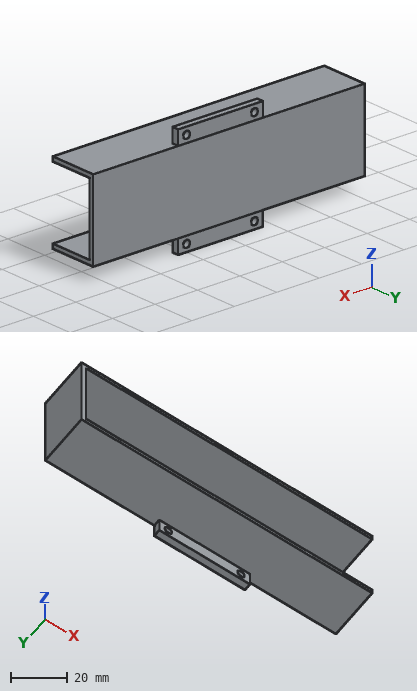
import cadquery as cq

length = 128.0
depth = 22.0
channel_height = 35.7
wall = 2.0
back_thickness = 2.0

overall_height = 48.5
lug_length = 40.0
lug_thickness = 3.1
lug_start = 48.0
lug_height = (overall_height - channel_height) / 2
hole_diameter = 3.1
hole_spacing = 32.0


def make_channel():
    """Channel with a back, top and bottom walls and a wall at the -X end."""
    body = cq.Workplane("XY").box(length, depth, channel_height, centered=(False, False, True))
    cavity = (
        cq.Workplane("XY")
        .box(length - wall, depth - back_thickness, channel_height - 2 * wall, centered=(False, False, True))
        .translate((wall, 0, 0))
    )
    return body.cut(cavity)


def make_lug(side):
    """Drilled lug on the top (side = 1) or the bottom (side = -1) of the channel."""
    center_x = lug_start + lug_length / 2
    center_z = side * (channel_height + lug_height) / 2
    plate = cq.Workplane("XY").box(lug_length, lug_thickness, lug_height)
    holes = (
        cq.Workplane("XZ")
        .pushPoints([(-hole_spacing / 2, 0), (hole_spacing / 2, 0)])
        .circle(hole_diameter / 2)
        .extrude(lug_thickness, both=True)
    )
    return plate.cut(holes).translate((center_x, depth - lug_thickness / 2, center_z))


channel = make_channel()
lugs = [make_lug(side) for side in (1, -1)]

result = cq.Compound.makeCompound([channel.val(), *[lug.val() for lug in lugs]])